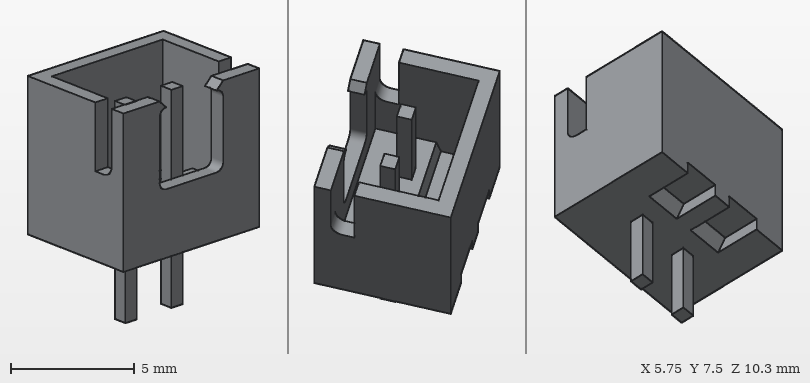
import cadquery as cq

length = 5.75
width = 7.5
height = 6.9
wall = 0.7
side_wall = 0.69

low_floor = 1.24
high_floor = 1.8
step_start = 2.29
step_run = 0.2

slot_width = 0.99
slot_depth = 3.0
slot_radius = slot_width / 2

hook_reach = 0.36
hook_lead_height = 0.35
hook_height = hook_lead_height + hook_reach
hook_gap = 2.78
gap_width = hook_gap + 2 * hook_reach
gap_depth = 3.91
gap_radius = 0.37

notch_width = 1.71
notch_height = 0.61
notch_depth = 2.06
notch_slope_run = 0.38
notch_pitch = 2.58

pin_size = 0.63
pin_x = 3.27
pin_pitch = 2.53
pin_offset_y = -0.06
pin_below = 3.4
pin_top = 6.1

inner_end = length - wall
inner_width = width - 2 * side_wall
pin_positions = [pin_offset_y + side * pin_pitch / 2 for side in (-1, 1)]


def make_cavity():
    """Stepped cavity, open at the top."""
    return (
        cq.Workplane("XZ")
        .moveTo(wall, height)
        .lineTo(wall, low_floor)
        .lineTo(step_start, low_floor)
        .lineTo(step_start + step_run, high_floor)
        .lineTo(inner_end, high_floor)
        .lineTo(inner_end, height)
        .close()
        .extrude(inner_width / 2, both=True)
    )


def make_side_slots():
    """One cut through both side walls, rounded at its lower +X corner."""
    slot_floor = height - slot_depth
    return (
        cq.Workplane("XZ")
        .moveTo(inner_end - slot_width, height)
        .lineTo(inner_end - slot_width, slot_floor)
        .lineTo(inner_end - slot_radius, slot_floor)
        .radiusArc((inner_end, slot_floor + slot_radius), -slot_radius)
        .lineTo(inner_end, height)
        .close()
        .extrude(width / 2, both=True)
    )


def make_latch_gap():
    """Gap through the +X wall with rounded lower corners and hooked upper edges."""
    half_gap = gap_width / 2
    half_tip = hook_gap / 2
    gap_floor = height - gap_depth
    return (
        cq.Workplane("YZ", origin=(inner_end, 0, 0))
        .moveTo(-half_gap, height)
        .lineTo(-half_tip, height - hook_lead_height)
        .radiusArc((-half_gap, height - hook_height), -hook_reach)
        .lineTo(-half_gap, gap_floor + gap_radius)
        .radiusArc((-half_gap + gap_radius, gap_floor), -gap_radius)
        .lineTo(half_gap - gap_radius, gap_floor)
        .radiusArc((half_gap, gap_floor + gap_radius), -gap_radius)
        .lineTo(half_gap, height - hook_height)
        .radiusArc((half_tip, height - hook_lead_height), -hook_reach)
        .lineTo(half_gap, height)
        .close()
        .extrude(wall)
    )


def make_notch(centre_y):
    """Notch in the underside, open through the -X face, with a sloped inner end."""
    ceiling_end = notch_depth - notch_slope_run
    return (
        cq.Workplane("XZ", origin=(0, centre_y, 0))
        .polyline([(0, 0), (notch_depth, 0), (ceiling_end, notch_height), (0, notch_height)])
        .close()
        .extrude(notch_width / 2, both=True)
    )


def make_pin(centre_y):
    """Square pin passing through the cavity floor."""
    return (
        cq.Workplane("XY", origin=(pin_x, centre_y, -pin_below))
        .rect(pin_size, pin_size)
        .extrude(pin_below + pin_top)
    )


def make_housing(pins):
    """Block with cavity, slots, latch gap, notches and matching pin holes."""
    body = cq.Workplane("XY").box(length, width, height, centered=(False, True, False))
    body = body.cut(make_cavity()).cut(make_side_slots()).cut(make_latch_gap())
    for side in (-1, 1):
        body = body.cut(make_notch(side * notch_pitch / 2))
    for pin in pins:
        body = body.cut(pin)
    return body


pins = [make_pin(centre_y) for centre_y in pin_positions]
housing = make_housing(pins)

result = cq.Compound.makeCompound([housing.val(), *[pin.val() for pin in pins]])